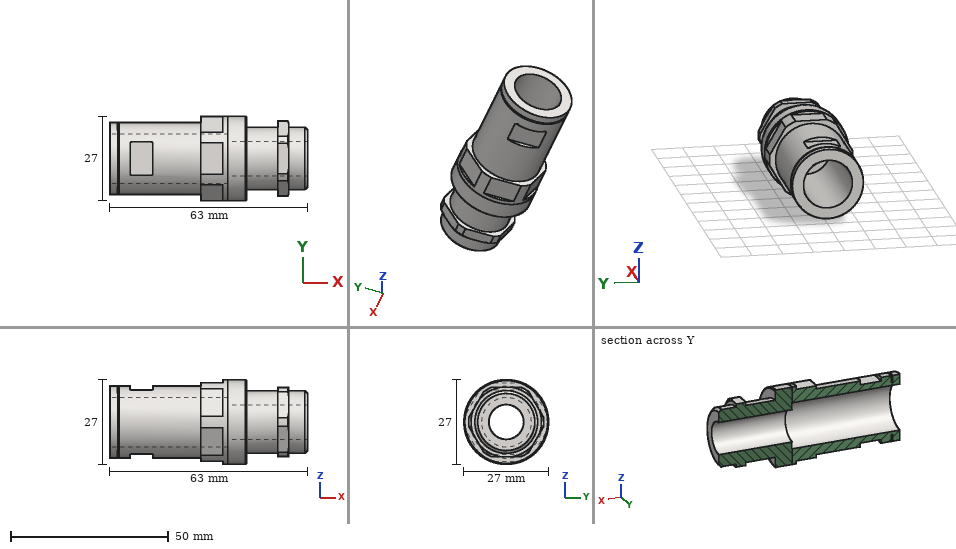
import cadquery as cq
import math


total_length = 63.0
hex_start = 29.0
hex_flat_end = 36.0
joint = 37.45
flange_end = 43.5
collar_start = 53.5
collar_end = 57.0

sleeve_diameter = 23.0
sleeve_bore = 15.8
hex_diameter = 26.98
hex_across_flats = 25.0
groove_start = 2.5
groove_width = 0.5
groove_diameter = 18.3
wrench_flat_start = 6.5
wrench_flat_length = 7.2
wrench_across_flats = 20.4
wrench_flat_width = math.sqrt(sleeve_diameter**2 - wrench_across_flats**2)
wrench_flat_corner_radius = 0.5

flange_diameter = 27.0
flange_chamfer = 0.35
spigot_diameter = 20.0
spigot_tip_diameter = 18.16
entry_bore = 11.0
collar_diameter = 24.0
collar_across_flats = 22.0
collar_face_diameter = 22.38
collar_bevel_angle = 25.0


def cylinder(start, end, diameter):
    """Cylinder on the X axis between two stations."""
    return cq.Workplane("YZ", origin=(start, 0, 0)).circle(diameter / 2).extrude(end - start)


def hexagon(start, end, across_flats):
    """Hexagonal prism on the X axis with flats facing +Z and -Z."""
    across_corners = across_flats / math.cos(math.pi / 6)
    return cq.Workplane("YZ", origin=(start, 0, 0)).polygon(6, across_corners).extrude(end - start)


def wrench_flat_cutter():
    """Block with rounded corners that leaves one flat on top of the sleeve."""
    height = sleeve_diameter / 2
    return (
        cq.Workplane("XY", origin=(wrench_flat_start, 0, wrench_across_flats / 2))
        .box(wrench_flat_length, wrench_flat_width, height, centered=(False, True, False))
        .edges("|Z")
        .fillet(wrench_flat_corner_radius)
    )


def make_compression_nut():
    sleeve = cylinder(0, hex_start, sleeve_diameter)
    groove_end = groove_start + groove_width
    groove = cylinder(groove_start, groove_end, sleeve_diameter)
    groove = groove.cut(cylinder(groove_start, groove_end, groove_diameter))
    sleeve = sleeve.cut(groove)
    for turn in (0, 180):
        sleeve = sleeve.cut(wrench_flat_cutter().rotate((0, 0, 0), (1, 0, 0), turn))

    flats = cylinder(hex_start, hex_flat_end, hex_diameter)
    flats = flats.intersect(hexagon(hex_start, hex_flat_end, hex_across_flats))
    rim = cylinder(hex_flat_end, joint, hex_diameter)
    return sleeve.union(flats).union(rim).cut(cylinder(0, joint, sleeve_bore))


def make_collar():
    """Hexagonal collar with turned corners, bevelled on its +X face."""
    bevel_depth = (collar_diameter - collar_face_diameter) / 2
    bevel_length = bevel_depth * math.tan(math.radians(collar_bevel_angle))
    blank = (
        cq.Workplane("XY")
        .moveTo(collar_start, 0)
        .lineTo(collar_start, collar_diameter / 2)
        .lineTo(collar_end - bevel_length, collar_diameter / 2)
        .lineTo(collar_end, collar_face_diameter / 2)
        .lineTo(collar_end, 0)
        .close()
        .revolve(360, (0, 0, 0), (1, 0, 0))
    )
    return blank.intersect(hexagon(collar_start, collar_end, collar_across_flats))


def make_entry_body():
    flange = cylinder(joint, flange_end, flange_diameter).faces(">X").chamfer(flange_chamfer)
    spigot_chamfer = (spigot_diameter - spigot_tip_diameter) / 2
    spigot = cylinder(flange_end, total_length, spigot_diameter).faces(">X").chamfer(spigot_chamfer)
    bore = cylinder(joint, total_length, entry_bore)
    return flange.union(spigot).union(make_collar()).cut(bore)


compression_nut = make_compression_nut()
entry_body = make_entry_body()

result = cq.Compound.makeCompound([compression_nut.val(), entry_body.val()])